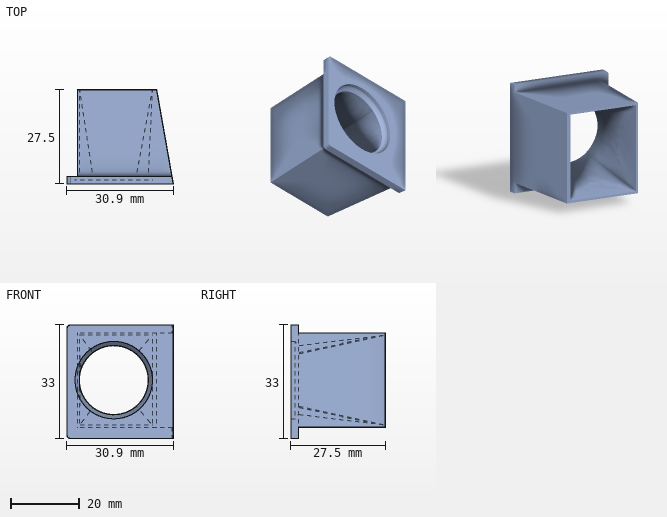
import cadquery as cq
import math

flange_width = 30.92
flange_height = 33.0
flange_thickness = 2.2
corner_radius = 1.0

total_depth = 27.45
side_draft = 10.0
left_overhang = 3.0
bottom_overhang = 3.25
body_height = 27.5
rear_right = flange_width - total_depth * math.tan(math.radians(side_draft))
body_top = bottom_overhang + body_height

mouth_diameter = 22.5
throat_diameter = 20.0
mouth_depth = 1.12
throat_depth = flange_thickness
bore_x = 13.6
bore_z = bottom_overhang + body_height / 2

right_wall = 1.25
rear_wall = 0.65


def make_block(left, bottom, height, depth):
    """Block from the front plane back to depth, with the drafted right side."""
    right_at_depth = flange_width - depth * math.tan(math.radians(side_draft))
    outline = [(left, 0), (flange_width, 0), (right_at_depth, depth), (left, depth)]
    return cq.Workplane("XY", origin=(0, 0, bottom)).polyline(outline).close().extrude(height)


def make_mouth():
    """Straight counterbore followed by a cone down to the throat."""
    mouth_radius = mouth_diameter / 2
    throat_radius = throat_diameter / 2
    profile = [
        (0, 0), (mouth_radius, 0), (mouth_radius, mouth_depth),
        (throat_radius, throat_depth), (0, throat_depth),
    ]
    turned = cq.Workplane("XY").polyline(profile).close().revolve(360, (0, 0, 0), (0, 1, 0))
    return turned.translate((bore_x, 0, bore_z))


def throat_point(angle):
    """Point on the throat circle, angle measured from +X toward +Z."""
    radius = throat_diameter / 2
    return cq.Vector(bore_x + radius * math.cos(angle), throat_depth, bore_z + radius * math.sin(angle))


def make_passage():
    """Ruled transition whose rear corners meet the throat circle along sharp edges."""
    left = left_overhang + rear_wall
    right = rear_right - right_wall
    bottom = bottom_overhang + rear_wall
    top = body_top - rear_wall
    corners = [(right, bottom), (right, top), (left, top), (left, bottom)]
    angles = [math.atan2(z - bore_z, x - bore_x) for x, z in corners]
    rear_points = [cq.Vector(x, total_depth, z) for x, z in corners]

    arcs = []
    rear_edges = []
    for index in range(len(corners)):
        following = (index + 1) % len(corners)
        start = angles[index]
        sweep = (angles[following] - start) % (2 * math.pi)
        arcs.append(cq.Edge.makeThreePointArc(
            throat_point(start), throat_point(start + sweep / 2), throat_point(start + sweep)))
        rear_edges.append(cq.Edge.makeLine(rear_points[index], rear_points[following]))
    throat = cq.Wire.assembleEdges(arcs)
    rear_opening = cq.Wire.assembleEdges(rear_edges)
    return cq.Workplane(obj=cq.Solid.makeLoft([throat, rear_opening], True))


flange = make_block(0, 0, flange_height, flange_thickness).edges("|Y and <X").fillet(corner_radius)
body = make_block(left_overhang, bottom_overhang, body_height, total_depth)
result = flange.union(body).cut(make_mouth()).cut(make_passage())